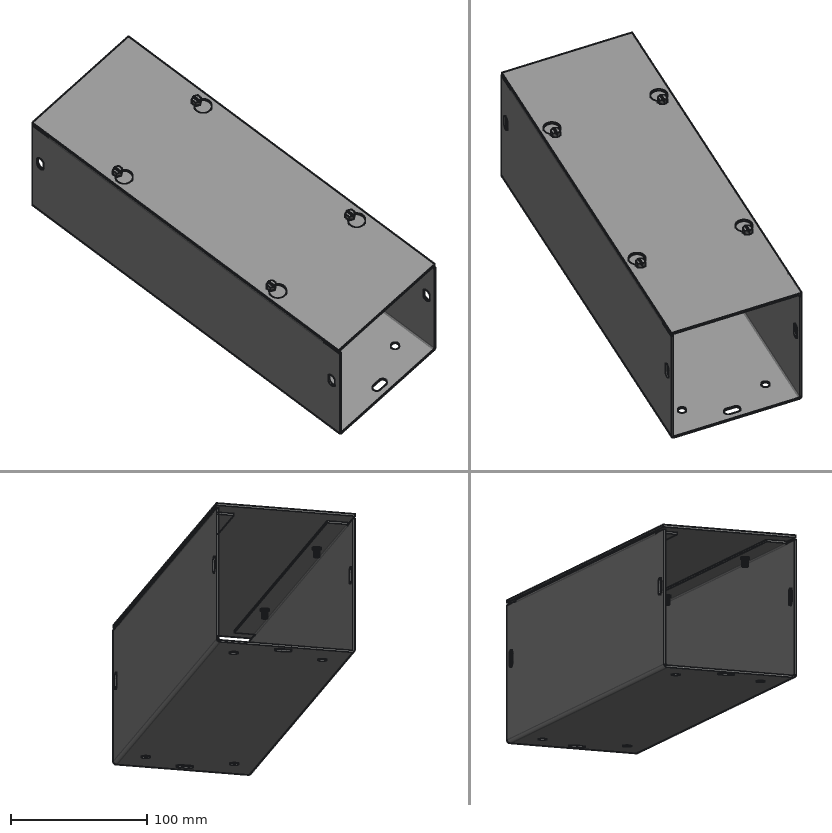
import cadquery as cq
import math

length = 304.8
width = 105.0
height = 109.7

cover_sheet = 1.8
cover_length = 304.0
keyhole_neck_diameter = 8.0
keyhole_entry_diameter = 12.8
keyhole_entry_shift = 6.5

tray_sheet = 1.6
bend_radius = 2.5
inner_bend_radius = bend_radius - tray_sheet
flange_width = 17.0
flange_end_gap = 16.0
flange_wall_gap = 1.8
boss_diameter = 6.5
boss_height = 1.0

slot_length = 12.8
slot_width = 6.5
slot_end_gap = 8.0
wall_slot_z = 62.0
floor_hole_diameter = 6.5
floor_hole_end_gap = 23.2
floor_hole_y = 33.5

head_rise = 2.9
head_across_flats = 6.0
head_across_corners = head_across_flats / math.cos(math.pi / 6)
driver_slot_width = 1.0
driver_slot_depth = 1.0
thread_diameter = 4.5
thread_root_diameter = 4.0
thread_pitch = 1.0
thread_turns = 7

screw_edge_gap = 9.5

cover_top = height - head_rise
tray_top = cover_top - cover_sheet
boss_bottom = tray_top - tray_sheet - boss_height
inner_width = width - 2 * tray_sheet
flange_length = length - 2 * flange_end_gap
wall_top = tray_top - flange_wall_gap
slot_xs = (slot_end_gap, length - slot_end_gap)
floor_hole_xs = (floor_hole_end_gap, length - floor_hole_end_gap)
floor_hole_points = [(x, y) for x in floor_hole_xs for y in (-floor_hole_y, floor_hole_y)]
screw_y = width / 2 - screw_edge_gap
screw_points = [(x, y) for x in (length / 4, length * 3 / 4) for y in (-screw_y, screw_y)]


def plate(x_size, y_size, z_size, x_start=0.0, z_start=0.0):
    """Box centred on Y that starts at the given X and Z."""
    box = cq.Workplane("XY").box(x_size, y_size, z_size, centered=(False, True, False))
    return box.translate((x_start, 0, z_start))


def discs(points, diameter, z_start, thickness):
    """Upright cylinders of one size at the given points."""
    plane = cq.Workplane("XY").workplane(offset=z_start)
    return plane.pushPoints(points).circle(diameter / 2).extrude(thickness)


def make_channel():
    """U channel with rounded bottom bends and straight walls."""
    outer = plate(length, width, wall_top).edges("|X and <Z").fillet(bend_radius)
    inner = plate(length, inner_width, wall_top, z_start=tray_sheet)
    return outer.cut(inner.edges("|X and <Z").fillet(inner_bend_radius))


def make_flanged_section():
    """Middle stretch of the tray, whose walls bend inward into the two top flanges."""
    outer = plate(flange_length, width, tray_top, flange_end_gap).edges("|X").fillet(bend_radius)
    inner = plate(flange_length, inner_width, tray_top - 2 * tray_sheet, flange_end_gap, tray_sheet)
    opening_width = width - 2 * flange_width
    opening = plate(flange_length, opening_width, tray_sheet, flange_end_gap, tray_top - tray_sheet)
    return outer.cut(inner.edges("|X").fillet(inner_bend_radius)).cut(opening)


def make_tray():
    """Sheet tray with bored bosses under the flanges, slotted walls and a pierced floor."""
    bend_space = plate(flange_length, width, bend_radius, flange_end_gap, tray_top - bend_radius)
    tray = make_channel().cut(bend_space).union(make_flanged_section())
    tray = tray.union(discs(screw_points, boss_diameter, boss_bottom, boss_height))
    tray = tray.cut(discs(screw_points, thread_diameter, boss_bottom, boss_height + tray_sheet))
    wall_slots = (
        cq.Workplane("XZ")
        .pushPoints([(x, wall_slot_z) for x in slot_xs])
        .slot2D(slot_length, slot_width, 90)
        .extrude(width / 2, both=True)
    )
    floor_slots = (
        cq.Workplane("XY")
        .pushPoints([(x, 0) for x in slot_xs])
        .slot2D(slot_length, slot_width, 90)
        .extrude(tray_sheet)
    )
    floor_holes = discs(floor_hole_points, floor_hole_diameter, 0, tray_sheet)
    return tray.cut(wall_slots).cut(floor_slots).cut(floor_holes)


def make_cover():
    """Cover plate with a keyhole for each screw: a neck circle and a wider entry circle."""
    entry_points = [(x + keyhole_entry_shift, y) for x, y in screw_points]
    cover = plate(cover_length, width, cover_sheet, z_start=tray_top)
    cover = cover.cut(discs(screw_points, keyhole_neck_diameter, tray_top, cover_sheet))
    return cover.cut(discs(entry_points, keyhole_entry_diameter, tray_top, cover_sheet))


def make_shank():
    """Plain shank through the flange, then a thread of ring grooves that ends at its root."""
    crest = thread_diameter / 2
    root = thread_root_diameter / 2
    outline = [(0, tray_top), (crest, tray_top)]
    for turn in range(thread_turns):
        crest_z = boss_bottom - turn * thread_pitch
        outline += [(crest, crest_z), (root, crest_z - thread_pitch / 2)]
    tip_z = boss_bottom - (thread_turns - 0.5) * thread_pitch
    outline.append((0, tip_z))
    return cq.Workplane("XZ").polyline(outline).close().revolve(360, (0, 0, 0), (0, 1, 0))


def make_screw(x, y):
    """Hexagon-head screw resting on the flange, with a driver slot along X."""
    head = (
        cq.Workplane("XY")
        .workplane(offset=tray_top)
        .polygon(6, head_across_corners)
        .extrude(height - tray_top)
    )
    driver_slot = plate(
        head_across_corners,
        driver_slot_width,
        driver_slot_depth,
        -head_across_corners / 2,
        height - driver_slot_depth,
    )
    return head.cut(driver_slot).union(make_shank()).translate((x, y, 0))


tray = make_tray()
cover = make_cover()
screws = [make_screw(x, y) for x, y in screw_points]
result = cq.Compound.makeCompound([tray.val(), cover.val(), *[screw.val() for screw in screws]])